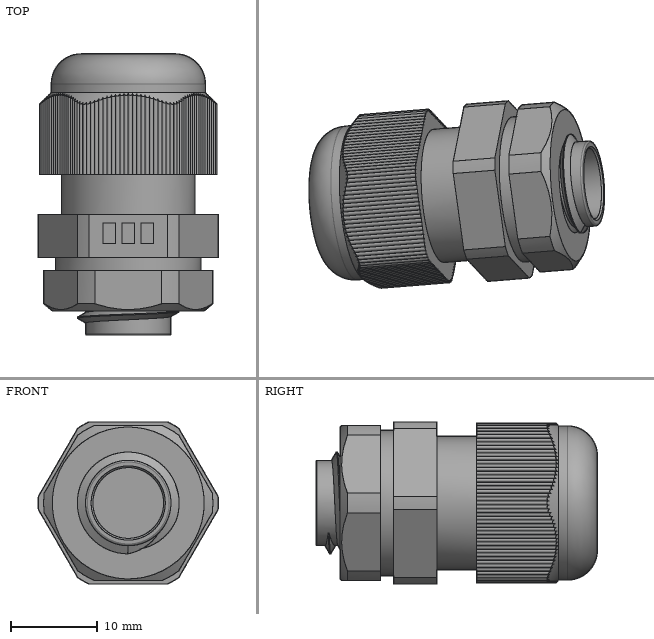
import cadquery as cq
import math

TOTAL_LENGTH = 32.61

SPIGOT_DIAMETER = 9.9
BORE_DIAMETER = 8.2
BORE_DEPTH = 2.8
SPIGOT_EDGE_RADIUS = 0.2
BORE_MOUTH_CHAMFER = 0.2

THREAD_DIAMETER = 11.8
THREAD_PITCH = 1.5
THREAD_TURNS = 1.4
THREAD_START_Z = 1.65
THREAD_CREST_WIDTH = 0.12
THREAD_HALF_ANGLE = math.radians(30)
THREAD_ROOT_RADIUS = 4.8
RUN_IN_ANGLE = 50
RUN_IN_DEPTH = 1.05

NUT_BOTTOM_Z = 2.8
NUT_TOP_Z = 7.5
NUT_ACROSS_FLATS = 18.0
NUT_CORNER_DIAMETER = 19.6
NUT_FACE_DIAMETER = 17.6
NUT_CHAMFER_HEIGHT = 0.85

COLLAR_DIAMETER = 16.9
BODY_HEX_BOTTOM_Z = 9.0
BODY_HEX_TOP_Z = 14.0
BODY_HEX_ACROSS_FLATS = 18.8
BODY_HEX_CORNER_DIAMETER = 20.9
NECK_DIAMETER = 15.5

WINDOW_COUNT = 3
WINDOW_SPACING = 2.2
WINDOW_WIDTH = 1.45
WINDOW_LENGTH = 2.35
WINDOW_DEPTH = 1.6
WINDOW_CENTRE_Z = 11.8

CAP_BOTTOM_Z = 18.6
CAP_BAND_BOTTOM_Z = 28.1
CAP_BAND_DIAMETER = 17.9
DOME_RADIUS = 3.5
CAP_ACROSS_FLATS = 18.52
CAP_CORNER_RADIUS = 2.48
RIBS_PER_FLAT = 16
RIBS_PER_CORNER = 5
RIB_HEIGHT = 0.23

HEX_SIDES = 6


def cylinder(diameter, bottom_z, top_z):
    return cq.Workplane("XY").workplane(offset=bottom_z).circle(diameter / 2).extrude(top_z - bottom_z)


def rounded_hexagon(across_flats, corner_diameter, bottom_z, top_z):
    """Hexagonal prism with flats facing +Y and -Y, its corners turned down to a circle."""
    point_diameter = across_flats / math.cos(math.pi / HEX_SIDES)
    prism = (
        cq.Workplane("XY")
        .workplane(offset=bottom_z)
        .polygon(HEX_SIDES, point_diameter)
        .extrude(top_z - bottom_z)
    )
    return prism.intersect(cylinder(corner_diameter, bottom_z, top_z))


def make_lock_nut():
    """Hexagonal nut with its outer end trimmed by a cone."""
    face_radius = NUT_FACE_DIAMETER / 2
    corner_radius = NUT_CORNER_DIAMETER / 2
    envelope = (
        cq.Workplane("XZ")
        .moveTo(0, NUT_BOTTOM_Z)
        .lineTo(face_radius, NUT_BOTTOM_Z)
        .lineTo(corner_radius, NUT_BOTTOM_Z + NUT_CHAMFER_HEIGHT)
        .lineTo(corner_radius, NUT_TOP_Z)
        .lineTo(0, NUT_TOP_Z)
        .close()
        .revolve(360, (0, 0, 0), (0, 1, 0))
    )
    nut = rounded_hexagon(NUT_ACROSS_FLATS, NUT_CORNER_DIAMETER, NUT_BOTTOM_Z, NUT_TOP_Z)
    return nut.intersect(envelope)


def make_body():
    """Round core running from nut to cap, with the body hexagon around it."""
    collar = cylinder(COLLAR_DIAMETER, NUT_TOP_Z, BODY_HEX_BOTTOM_Z)
    hexagon = rounded_hexagon(
        BODY_HEX_ACROSS_FLATS, BODY_HEX_CORNER_DIAMETER, BODY_HEX_BOTTOM_Z, BODY_HEX_TOP_Z
    )
    neck = cylinder(NECK_DIAMETER, BODY_HEX_TOP_Z, CAP_BOTTOM_Z)
    return collar.union(hexagon.cut(make_windows())).union(neck)


def make_windows():
    """Row of rectangular pockets sunk into the flat facing local -Y."""
    first_x = -WINDOW_SPACING * (WINDOW_COUNT - 1) / 2
    centres = [(first_x + i * WINDOW_SPACING, WINDOW_CENTRE_Z) for i in range(WINDOW_COUNT)]
    return (
        cq.Workplane("XZ", origin=(0, -BODY_HEX_ACROSS_FLATS / 2, 0))
        .pushPoints(centres)
        .rect(WINDOW_WIDTH, WINDOW_LENGTH)
        .extrude(-WINDOW_DEPTH)
    )


def cap_outline_point(side, step, inset):
    """Point on the rounded hexagon, `step` rib pitches past the start of a flat, moved in by `inset`."""
    apothem = CAP_ACROSS_FLATS / 2
    half_flat = (apothem - CAP_CORNER_RADIUS) * math.tan(math.pi / HEX_SIDES)
    if step <= RIBS_PER_FLAT:
        x = half_flat * (1 - 2 * step / RIBS_PER_FLAT)
        y = apothem - inset
    else:
        turn = (step - RIBS_PER_FLAT) / RIBS_PER_CORNER * 2 * math.pi / HEX_SIDES
        radius = CAP_CORNER_RADIUS - inset
        x = -half_flat - radius * math.sin(turn)
        y = apothem - CAP_CORNER_RADIUS + radius * math.cos(turn)
    angle = side * 2 * math.pi / HEX_SIDES
    return (
        x * math.cos(angle) - y * math.sin(angle),
        x * math.sin(angle) + y * math.cos(angle),
    )


def make_ribbed_grip():
    """Rounded hexagonal grip whose whole outline is made of convex ribs."""
    outline = cq.Workplane("XY").workplane(offset=CAP_BOTTOM_Z).moveTo(*cap_outline_point(0, 0, RIB_HEIGHT))
    for side in range(HEX_SIDES):
        for rib in range(RIBS_PER_FLAT + RIBS_PER_CORNER):
            crest = cap_outline_point(side, rib + 0.5, 0)
            valley = cap_outline_point(side, rib + 1, RIB_HEIGHT)
            outline = outline.threePointArc(crest, valley)
    return outline.close().extrude(CAP_BAND_BOTTOM_Z - CAP_BOTTOM_Z)


def make_cap():
    """Ribbed grip trimmed by a 45 degree cone, topped by a plain band and a dome."""
    band_radius = CAP_BAND_DIAMETER / 2
    cone_foot_radius = CAP_ACROSS_FLATS / 2 / math.cos(math.pi / HEX_SIDES)
    cone_reach = cone_foot_radius - band_radius
    envelope = (
        cq.Workplane("XZ")
        .moveTo(0, CAP_BOTTOM_Z)
        .lineTo(cone_foot_radius, CAP_BOTTOM_Z)
        .lineTo(cone_foot_radius, CAP_BAND_BOTTOM_Z - cone_reach)
        .lineTo(band_radius, CAP_BAND_BOTTOM_Z)
        .lineTo(0, CAP_BAND_BOTTOM_Z)
        .close()
        .revolve(360, (0, 0, 0), (0, 1, 0))
    )
    dome = (
        cylinder(CAP_BAND_DIAMETER, CAP_BAND_BOTTOM_Z, TOTAL_LENGTH)
        .faces(">Z")
        .edges()
        .fillet(DOME_RADIUS)
    )
    return make_ribbed_grip().intersect(envelope).union(dome)


def make_spigot():
    """Solid spigot with a rounded end, rooted in the nut."""
    return cylinder(SPIGOT_DIAMETER, 0, NUT_TOP_Z).faces("<Z").edges().fillet(SPIGOT_EDGE_RADIUS)


def make_bore():
    """Blind bore with a chamfered mouth."""
    bore_radius = BORE_DIAMETER / 2
    return (
        cq.Workplane("XZ")
        .lineTo(bore_radius + BORE_MOUTH_CHAMFER, 0)
        .lineTo(bore_radius, BORE_MOUTH_CHAMFER)
        .lineTo(bore_radius, BORE_DEPTH)
        .lineTo(0, BORE_DEPTH)
        .close()
        .revolve(360, (0, 0, 0), (0, 1, 0))
    )


def sweep_thread_ridge(path, root_radius):
    """Sweep the tapered thread section, standing on `root_radius` at local +X, along a helix."""
    height = THREAD_DIAMETER / 2 - THREAD_ROOT_RADIUS
    half_crest = THREAD_CREST_WIDTH / 2
    half_root = half_crest + height * math.tan(THREAD_HALF_ANGLE)
    return (
        cq.Workplane("XZ")
        .moveTo(root_radius, -half_root)
        .lineTo(root_radius + height, -half_crest)
        .lineTo(root_radius + height, half_crest)
        .lineTo(root_radius, half_root)
        .close()
        .sweep(cq.Workplane(path), isFrenet=True)
    )


def make_thread():
    """Right-handed ridge, full at local +Y and running into the nut one way, into the spigot the other."""
    full_path = cq.Wire.makeHelix(THREAD_PITCH, THREAD_PITCH * THREAD_TURNS, THREAD_ROOT_RADIUS)
    full_thread = sweep_thread_ridge(full_path, THREAD_ROOT_RADIUS)

    run_in_turns = RUN_IN_ANGLE / 360
    run_in_rise = THREAD_PITCH * run_in_turns
    run_in_slant = math.hypot(run_in_rise, RUN_IN_DEPTH)
    cone_angle = math.degrees(math.atan2(RUN_IN_DEPTH, run_in_rise))
    run_in_radius = THREAD_ROOT_RADIUS - RUN_IN_DEPTH
    run_in_pitch = run_in_slant / run_in_turns
    run_in_path = cq.Wire.makeHelix(run_in_pitch, run_in_slant, run_in_radius, angle=cone_angle)
    run_in = sweep_thread_ridge(run_in_path, run_in_radius)
    run_in = run_in.rotate((0, 0, 0), (0, 0, 1), -RUN_IN_ANGLE).translate((0, 0, -run_in_rise))

    thread = full_thread.union(run_in)
    return thread.rotate((0, 0, 0), (0, 0, 1), 90).translate((0, 0, THREAD_START_Z))


gland = (
    make_spigot()
    .union(make_thread())
    .union(make_lock_nut())
    .cut(make_bore())
    .union(make_body())
    .union(make_cap())
)

result = gland.rotate((0, 0, 0), (1, 0, 0), -90)